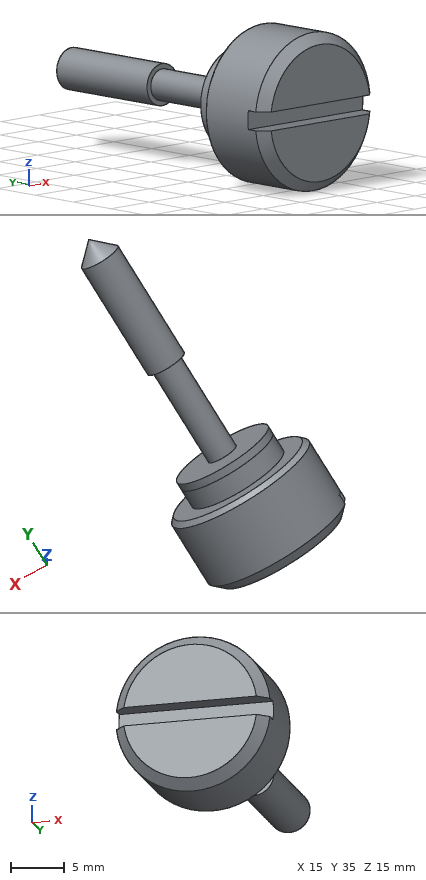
import cadquery as cq

total_length = 35.0

head_diameter = 15.0
head_length = 8.0
front_chamfer = 1.0
back_chamfer = 0.5
slot_width = 1.8
slot_depth = 2.0

collar_diameter = 10.0
collar_length = 2.0
washer_thickness = 0.8

neck_diameter = 3.0
end_diameter = 4.0
end_length = 12.0
tip_length = end_diameter / 2

collar_end = head_length + collar_length
end_stop = total_length - tip_length
end_start = end_stop - end_length


def make_screw():
    """Turned screw on the Y axis with a driver slot across the head along X."""
    head_radius = head_diameter / 2
    body = (
        cq.Workplane("XY")
        .lineTo(head_radius - front_chamfer, 0)
        .lineTo(head_radius, front_chamfer)
        .lineTo(head_radius, head_length - back_chamfer)
        .lineTo(head_radius - back_chamfer, head_length)
        .lineTo(collar_diameter / 2, head_length)
        .lineTo(collar_diameter / 2, collar_end)
        .lineTo(neck_diameter / 2, collar_end)
        .lineTo(neck_diameter / 2, end_start)
        .lineTo(end_diameter / 2, end_start)
        .lineTo(end_diameter / 2, end_stop)
        .lineTo(0, total_length)
        .close()
        .revolve(360, (0, 0, 0), (0, 1, 0))
    )
    slot = cq.Workplane("XY").box(
        head_diameter, slot_depth, slot_width, centered=(True, False, True)
    )
    return body.cut(slot)


def make_washer():
    """Flat ring around the neck, seated against the collar."""
    return (
        cq.Workplane("XZ", origin=(0, collar_end, 0))
        .circle(collar_diameter / 2)
        .circle(neck_diameter / 2)
        .extrude(-washer_thickness)
    )


screw = make_screw()
washer = make_washer()

result = cq.Compound.makeCompound([screw.val(), washer.val()])